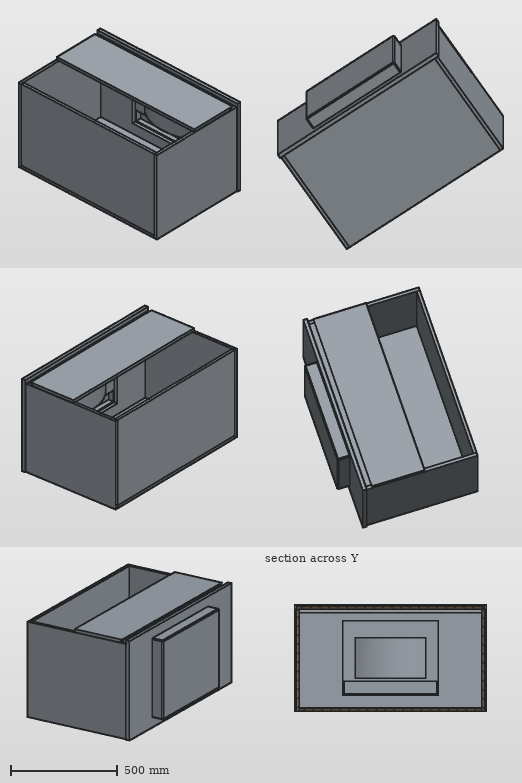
import cadquery as cq
import math


plate_width = 900.0
plate_height = 500.0
plate_thickness = 20.0

cabinet_width = 888.0
cabinet_depth = 550.0
cabinet_height = 480.0
panel_thickness = 16.0
inner_width = cabinet_width - 2 * panel_thickness
rail_depth = 100.0

lid_side_inset = 3.0
lid_front = 261.0
lid_back = 523.0
lid_bevel = 13.5

housing_width = 500.0
housing_height = 400.0
housing_depth = 60.0
housing_chamfer = 5.0
housing_middle = plate_height / 2
housing_front = cabinet_depth + plate_thickness

window_width = 450.0
window_height = 350.0
slot_width = 436.0
slot_bottom = 82.0
slot_height = 58.5
slot_depth = 28.0

bow_radius = 279.0
bow_projection = 54.0
bow_bottom = 155.0
bow_height = 2 * (housing_middle - bow_bottom)


def block(width, depth, height, front, bottom, middle=0.0):
    """Box centred across X on `middle`, running back from `front` and up from `bottom`."""
    return (
        cq.Workplane("XY")
        .box(width, depth, height, centered=(True, False, False))
        .translate((middle, front, bottom))
    )


def make_side_panel(side):
    """Full-height side of the cabinet; side is -1 for left and 1 for right."""
    middle = side * (cabinet_width - panel_thickness) / 2
    return block(panel_thickness, cabinet_depth, cabinet_height, 0, 0, middle)


def make_bottom_panel():
    return block(inner_width, cabinet_depth, panel_thickness, 0, 0)


def make_front_panel():
    height = cabinet_height - panel_thickness
    return block(inner_width, panel_thickness, height, 0, panel_thickness)


def make_top_rail():
    """Strip flush with the cabinet top, against the plate."""
    bottom = cabinet_height - panel_thickness
    return block(inner_width, rail_depth, panel_thickness, cabinet_depth - rail_depth, bottom)


def make_lid():
    """Flat board whose rear edge is bevelled away underneath as a grip."""
    width = cabinet_width - 2 * lid_side_inset
    profile = [
        (lid_front, cabinet_height),
        (lid_back - lid_bevel, cabinet_height),
        (lid_back, cabinet_height + panel_thickness),
        (lid_front, cabinet_height + panel_thickness),
    ]
    return cq.Workplane("YZ").polyline(profile).close().extrude(width / 2, both=True)


def make_plate():
    """Wall plate with a rectangular window that opens into the housing."""
    plate = block(plate_width, plate_thickness, plate_height, cabinet_depth, 0)
    window_bottom = housing_middle - window_height / 2
    window = block(window_width, plate_thickness, window_height, cabinet_depth, window_bottom)
    return plate.cut(window)


def make_housing():
    """Rear box, chamfered all round except where it meets the plate, with a slot in its front."""
    bottom = housing_middle - housing_height / 2
    body = block(housing_width, housing_depth, housing_height, housing_front, bottom)
    body = body.edges("|Y or >Y").chamfer(housing_chamfer)
    slot = block(slot_width, slot_depth, slot_height, housing_front, slot_bottom)
    return body.cut(slot)


def make_bowed_block():
    """Upright block with a flat back on the housing and a convex round front."""
    half_chord = math.sqrt(bow_radius**2 - (bow_radius - bow_projection) ** 2)
    return (
        cq.Workplane("XY", origin=(0, housing_front, bow_bottom))
        .moveTo(-half_chord, 0)
        .threePointArc((0, -bow_projection), (half_chord, 0))
        .close()
        .extrude(bow_height)
    )


side_panels = [make_side_panel(side) for side in (-1, 1)]
bottom_panel = make_bottom_panel()
front_panel = make_front_panel()
top_rail = make_top_rail()
lid = make_lid()
plate = make_plate()
housing = make_housing()
bowed_block = make_bowed_block()

result = cq.Compound.makeCompound([
    *[panel.val() for panel in side_panels],
    bottom_panel.val(),
    front_panel.val(),
    top_rail.val(),
    lid.val(),
    plate.val(),
    housing.val(),
    bowed_block.val(),
])